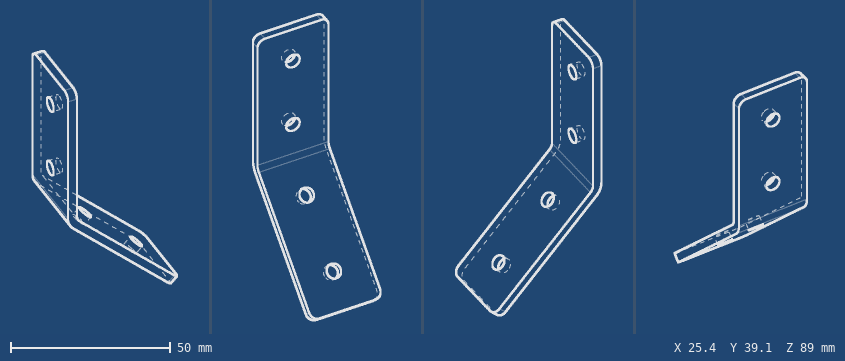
import cadquery as cq
import math

width = 25.4
overall_depth = 39.1
overall_height = 89.0
thickness = 3.1
bend_angle = 45.0
inner_bend_radius = 3.1
corner_radius = 2.7
hole_diameter = 4.8
hole_end_distance = width / 2
hole_spacing = width

outer_bend_radius = inner_bend_radius + thickness
sine = math.sin(math.radians(bend_angle))
cosine = math.cos(math.radians(bend_angle))
lower_length = (overall_depth - thickness * cosine - outer_bend_radius * (1 - cosine)) / sine
upper_length = overall_height - outer_bend_radius * sine - lower_length * cosine


def bend_point(radius, angle):
    """Point (y, z) on the bend, measured from the upper leg's front lower edge."""
    turn = math.radians(angle)
    return (outer_bend_radius - radius * math.cos(turn), -radius * math.sin(turn))


def along_lower_leg(start, distance):
    """Point reached by moving down the sloping leg from start."""
    return (start[0] + distance * sine, start[1] - distance * cosine)


outer_bend_end = bend_point(outer_bend_radius, bend_angle)
inner_bend_end = bend_point(inner_bend_radius, bend_angle)
outer_tip = along_lower_leg(outer_bend_end, lower_length)
inner_tip = along_lower_leg(inner_bend_end, lower_length)
strip = (
    cq.Workplane("YZ")
    .moveTo(0, upper_length)
    .lineTo(0, 0)
    .threePointArc(bend_point(outer_bend_radius, bend_angle / 2), outer_bend_end)
    .lineTo(*outer_tip)
    .lineTo(*inner_tip)
    .lineTo(*inner_bend_end)
    .threePointArc(bend_point(inner_bend_radius, bend_angle / 2), (thickness, 0))
    .lineTo(thickness, upper_length)
    .close()
    .extrude(width / 2, both=True)
)

upper_corners = strip.faces(">Z").edges("|Y")
lower_end_direction = cq.Vector(0, sine, -cosine)
lower_corners = strip.faces(cq.selectors.DirectionMinMaxSelector(lower_end_direction)).edges("not |X")
strip = strip.newObject(upper_corners.vals() + lower_corners.vals()).fillet(corner_radius)


def hole_pair(end, along, through):
    """Two hole cutters set back from a leg's end; 'along' points away from that end."""
    plane = cq.Plane(origin=end, xDir=along, normal=through)
    centres = [(hole_end_distance, 0), (hole_end_distance + hole_spacing, 0)]
    return cq.Workplane(plane).pushPoints(centres).circle(hole_diameter / 2).extrude(thickness)


upper_holes = hole_pair((0, 0, upper_length), (0, 0, -1), (0, 1, 0))
lower_holes = hole_pair((0, *outer_tip), (0, -sine, cosine), (0, cosine, sine))

result = strip.cut(upper_holes).cut(lower_holes)